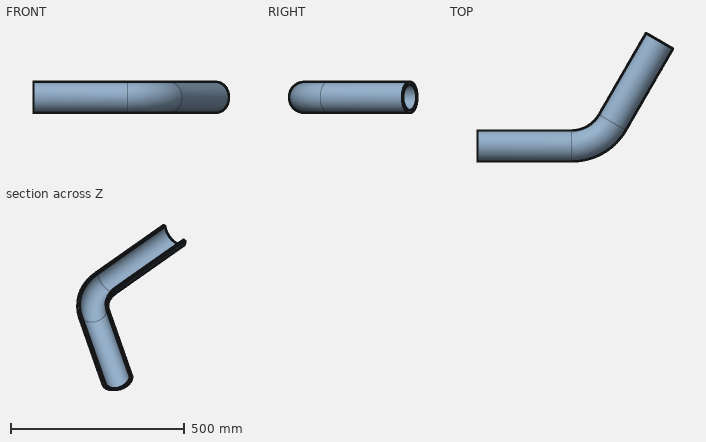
import cadquery as cq
import math

overall_length = 564.0
outer_diameter = 90.0
inner_diameter = 74.0
bend_radius = 1.5 * outer_diameter
bend_angle = 60.0

outer_radius = outer_diameter / 2
sin_bend = math.sin(math.radians(bend_angle))
cos_bend = math.cos(math.radians(bend_angle))
leg_length = (overall_length - (bend_radius + outer_radius) * sin_bend) / (1 + cos_bend)

bend_start = (leg_length, 0)
bend_end = (leg_length + bend_radius * sin_bend, bend_radius * (1 - cos_bend))
pipe_end = (bend_end[0] + leg_length * cos_bend, bend_end[1] + leg_length * sin_bend)


def make_centreline():
    """Straight leg, tangent bend, straight leg, starting at the origin along +X."""
    return (
        cq.Workplane("XY")
        .lineTo(*bend_start)
        .tangentArcPoint(bend_end, relative=False)
        .lineTo(*pipe_end)
    )


def make_pipe():
    """Sweep the annular pipe section along the centreline."""
    section = cq.Workplane("YZ").circle(outer_radius).circle(inner_diameter / 2)
    return section.sweep(make_centreline())


result = make_pipe()